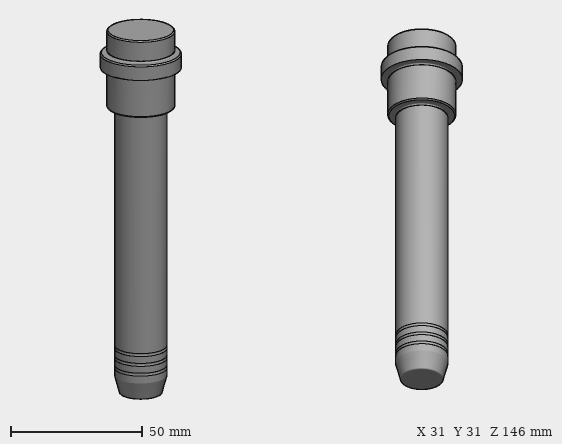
import cadquery as cq
import math

total_length = 146.0
head_radius = 26.0 / 2
collar_radius = 31.0 / 2
shaft_radius = 20.0 / 2

collar_top = 137.0
collar_bottom = 131.0
sleeve_bottom = 115.0
taper_height = 7.0

edge_chamfer = 0.51
relief_depth = 0.5
relief_width = 0.9

taper_angle = math.radians(15)
tip_round = 0.6

ring_count = 3
ring_pitch = 4.0
ring_width = 1.2
ring_depth = 0.1
lowest_ring_bottom = 10.1


def cylinder(radius, bottom, top):
    return cq.Workplane("XY").workplane(offset=bottom).circle(radius).extrude(top - bottom)


def ring_groove(radius, depth, bottom, width):
    """Annular cutter with a rounded floor, sunk to the given depth in a cylinder."""
    profile = (
        cq.Workplane("XZ")
        .moveTo(radius, bottom)
        .threePointArc((radius - depth, bottom + width / 2), (radius, bottom + width))
        .lineTo(radius + depth, bottom + width)
        .lineTo(radius + depth, bottom)
        .close()
    )
    return profile.revolve(360, (0, 0, 0), (0, 1, 0))


def make_shaft():
    tip_radius = shaft_radius - taper_height * math.tan(taper_angle)
    profile = (
        cq.Workplane("XZ")
        .moveTo(0, 0)
        .lineTo(tip_radius, 0)
        .lineTo(shaft_radius, taper_height)
        .lineTo(shaft_radius, sleeve_bottom)
        .lineTo(0, sleeve_bottom)
        .close()
    )
    shaft = profile.revolve(360, (0, 0, 0), (0, 1, 0))
    shaft = shaft.faces("<Z").edges().fillet(tip_round)
    for index in range(ring_count):
        bottom = lowest_ring_bottom + index * ring_pitch
        shaft = shaft.cut(ring_groove(shaft_radius, ring_depth, bottom, ring_width))
    neck_bottom = sleeve_bottom - relief_width
    return shaft.cut(ring_groove(shaft_radius, relief_depth, neck_bottom, relief_width))


def make_head():
    head = cylinder(head_radius, sleeve_bottom, total_length).edges().chamfer(edge_chamfer)
    for bottom in (collar_top, collar_bottom - relief_width):
        head = head.cut(ring_groove(head_radius, relief_depth, bottom, relief_width))
    collar = cylinder(collar_radius, collar_bottom, collar_top)
    collar = collar.faces(">Z").edges().chamfer(edge_chamfer)
    return head.union(collar)


result = make_shaft().union(make_head())